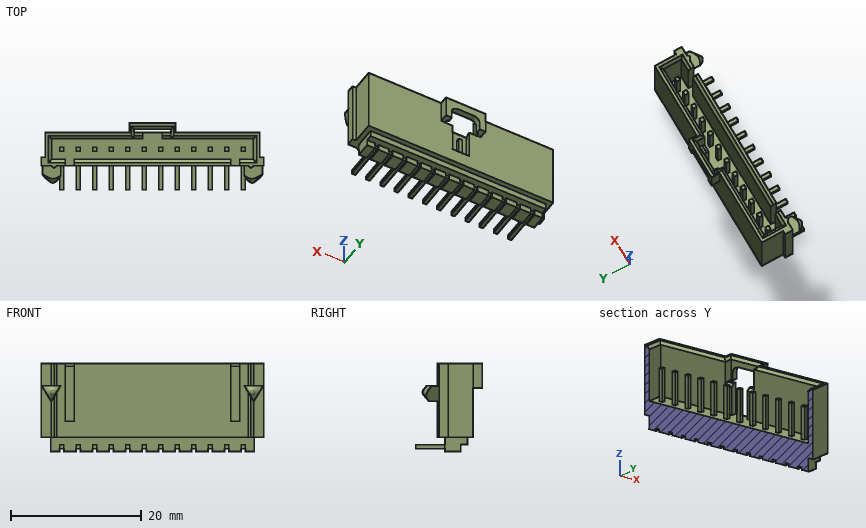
import cadquery as cq
import math


PIN_COUNT = 12
PITCH = 2.54
PIN_SIZE = 0.64
PIN_TOP_BELOW_RIM = 3.5
TAIL_END_Y = -6.26

BODY_LENGTH = 33.05
BODY_HALF_DEPTH = 2.58
BODY_HEIGHT = 11.4
WALL = 1.0
RIM_CHAMFER = 0.48
FLOOR_Z = 2.5
BODY_BACK_Y = BODY_HALF_DEPTH
BODY_FRONT_Y = -BODY_HALF_DEPTH
CAVITY_HALF_DEPTH = BODY_HALF_DEPTH - WALL

FLANGE_LENGTH = 34.29
FLANGE_DEPTH = 1.36

SLOT_WIDTH = 1.32
SLOT_CENTER_X = 12.73

LATCH_LENGTH = 7.08
LATCH_BACK_Y = 4.03
LATCH_HEIGHT = 3.84
LATCH_SIDE_WALL = 0.73
LATCH_CAVITY_LENGTH = LATCH_LENGTH - 2 * LATCH_SIDE_WALL
LATCH_CAVITY_BACK_Y = LATCH_BACK_Y - WALL
LATCH_WINDOW_LENGTH = 5.0
LATCH_WINDOW_TOP_BELOW_RIM = 1.47
LATCH_WINDOW_RADIUS = 1.1
BACK_OPENING_LENGTH = 3.02

RIB_CENTER_X = 15.15
RIB_WIDTH = 0.84
RIB_HEIGHT = 0.32
PEG_CENTER_X = 15.59
PEG_WIDTH = 2.95
PEG_HEIGHT = 2.43
PEG_CORNER_FLAT = 0.13
PEG_TOP_Z = BODY_HEIGHT - 3.43
PEG_LENGTH = 2.62
PEG_TIP_RADIUS = 0.32
PEG_DOME_HEIGHT = 0.1
PEG_POINT_HALF_ANGLE = 51
PEG_TIP_X = 15.33
PEG_TIP_BELOW_TOP = 1.02

BASE_LENGTH = 31.38
BASE_HEIGHT = 2.19
BASE_FRONT_Y = -1.75
BASE_BACK_Y = 1.75
STEP_Y = 0.72
STEP_HEIGHT = 1.12


def block(x_range, y_range, z_range):
    """Axis-aligned box between the given limits."""
    size = [high - low for low, high in (x_range, y_range, z_range)]
    corner = (x_range[0], y_range[0], z_range[0])
    return cq.Workplane("XY").box(*size, centered=False).translate(corner)


def centered_block(length, y_range, z_range):
    """Axis-aligned box centered on X = 0."""
    return block((-length / 2, length / 2), y_range, z_range)


def both_ends(feature):
    """The feature together with its mirror image about the YZ plane."""
    return feature.union(feature.mirror("YZ"))


def rim_flare(length, y_range, rim_z):
    """45-degree flare whose small end has the given size, RIM_CHAMFER below rim_z."""
    depth = y_range[1] - y_range[0]
    center_y = (y_range[0] + y_range[1]) / 2
    return (
        cq.Workplane("XY")
        .workplane(offset=rim_z)
        .center(0, center_y)
        .rect(length + 2 * RIM_CHAMFER, depth + 2 * RIM_CHAMFER)
        .extrude(-RIM_CHAMFER, taper=45)
    )


def make_shroud():
    flange_y = (BODY_FRONT_Y, BODY_FRONT_Y + FLANGE_DEPTH)
    latch_z = (BODY_HEIGHT - LATCH_HEIGHT, BODY_HEIGHT)
    shroud = centered_block(BODY_LENGTH, (BODY_FRONT_Y, BODY_BACK_Y), (0, BODY_HEIGHT))
    shroud = shroud.union(centered_block(FLANGE_LENGTH, flange_y, (0, BODY_HEIGHT)))
    return shroud.union(centered_block(LATCH_LENGTH, (0, LATCH_BACK_Y), latch_z))


def make_cavity():
    length = BODY_LENGTH - 2 * WALL
    y_range = (-CAVITY_HALF_DEPTH, CAVITY_HALF_DEPTH)
    cavity = centered_block(length, y_range, (FLOOR_Z, BODY_HEIGHT))
    return cavity.union(rim_flare(length, y_range, BODY_HEIGHT))


def make_latch_cutout():
    """Latch box cavity, the opening below it and the round-cornered window behind it."""
    sill_z = BODY_HEIGHT - LATCH_HEIGHT
    window_z = (sill_z, BODY_HEIGHT - LATCH_WINDOW_TOP_BELOW_RIM)
    cavity_y = (0, LATCH_CAVITY_BACK_Y)
    cavity = centered_block(LATCH_CAVITY_LENGTH, cavity_y, (sill_z, BODY_HEIGHT))
    flare = rim_flare(LATCH_CAVITY_LENGTH, cavity_y, BODY_HEIGHT)
    sill_flare = rim_flare(
        LATCH_CAVITY_LENGTH, (-CAVITY_HALF_DEPTH, CAVITY_HALF_DEPTH), sill_z
    ).intersect(centered_block(LATCH_CAVITY_LENGTH, (0, BODY_BACK_Y), (0, BODY_HEIGHT)))
    opening = centered_block(BACK_OPENING_LENGTH, (0, BODY_BACK_Y), (FLOOR_Z, sill_z))
    window = (
        centered_block(LATCH_WINDOW_LENGTH, (0, LATCH_BACK_Y), window_z)
        .edges("|Y and >Z")
        .fillet(LATCH_WINDOW_RADIUS)
    )
    return cavity.union(flare).union(sill_flare).union(opening).union(window)


def make_front_slots():
    x_range = (SLOT_CENTER_X - SLOT_WIDTH / 2, SLOT_CENTER_X + SLOT_WIDTH / 2)
    return both_ends(block(x_range, (BODY_FRONT_Y, 0), (FLOOR_Z, BODY_HEIGHT)))


def make_crush_ribs():
    rib = (
        cq.Workplane("XY")
        .moveTo(RIB_CENTER_X - RIB_WIDTH / 2, BODY_FRONT_Y)
        .lineTo(RIB_CENTER_X + RIB_WIDTH / 2, BODY_FRONT_Y)
        .lineTo(RIB_CENTER_X, BODY_FRONT_Y - RIB_HEIGHT)
        .close()
        .extrude(BODY_HEIGHT)
    )
    return both_ends(rib)


def make_peg_point():
    """Cone with a domed tip, as long as the peg, pointing toward -Y."""
    tip_y = BODY_FRONT_Y - PEG_LENGTH
    dome_base_y = tip_y + PEG_DOME_HEIGHT
    cone_length = PEG_LENGTH - PEG_DOME_HEIGHT
    root_radius = PEG_TIP_RADIUS + cone_length * math.tan(math.radians(PEG_POINT_HALF_ANGLE))
    dome_radius = (PEG_TIP_RADIUS**2 + PEG_DOME_HEIGHT**2) / (2 * PEG_DOME_HEIGHT)
    profile = (
        cq.Workplane("XY")
        .moveTo(0, tip_y)
        .radiusArc((PEG_TIP_RADIUS, dome_base_y), -dome_radius)
        .lineTo(root_radius, BODY_FRONT_Y)
        .lineTo(0, BODY_FRONT_Y)
        .close()
    )
    point = profile.revolve(360, (0, 0, 0), (0, 1, 0))
    return point.translate((PEG_TIP_X, 0, PEG_TOP_Z - PEG_TIP_BELOW_TOP))


def make_pegs():
    """Triangular pegs with a blunted outer corner and a conical point."""
    outer_x = PEG_CENTER_X + PEG_WIDTH / 2
    flank_run = PEG_CORNER_FLAT * PEG_WIDTH / (2 * PEG_HEIGHT)
    prism = (
        cq.Workplane("XZ", origin=(0, BODY_FRONT_Y, 0))
        .moveTo(PEG_CENTER_X - PEG_WIDTH / 2, PEG_TOP_Z)
        .lineTo(outer_x - PEG_CORNER_FLAT - flank_run, PEG_TOP_Z)
        .lineTo(outer_x - flank_run, PEG_TOP_Z - PEG_CORNER_FLAT)
        .lineTo(PEG_CENTER_X, PEG_TOP_Z - PEG_HEIGHT)
        .close()
        .extrude(PEG_LENGTH)
    )
    return both_ends(prism.intersect(make_peg_point()))


def make_base():
    base = centered_block(BASE_LENGTH, (BASE_FRONT_Y, BASE_BACK_Y), (-STEP_HEIGHT, 0))
    return base.union(centered_block(BASE_LENGTH, (BASE_FRONT_Y, STEP_Y), (-BASE_HEIGHT, 0)))


def pin_ranges():
    """X limits of every pin in the row."""
    first_x = -PITCH * (PIN_COUNT - 1) / 2
    centers = [first_x + PITCH * index for index in range(PIN_COUNT)]
    return [(x - PIN_SIZE / 2, x + PIN_SIZE / 2) for x in centers]


def make_pin(x_range):
    """L-shaped pin: a post standing in the shroud and a tail leaving at the front."""
    half = PIN_SIZE / 2
    tail_z = (-STEP_HEIGHT - PIN_SIZE, -STEP_HEIGHT)
    post = block(x_range, (-half, half), (tail_z[0], BODY_HEIGHT - PIN_TOP_BELOW_RIM))
    return post.union(block(x_range, (TAIL_END_Y, half), tail_z))


result = make_shroud().union(make_base())
result = result.cut(make_cavity()).cut(make_latch_cutout()).cut(make_front_slots())
result = result.union(make_crush_ribs()).union(make_pegs())
for pin_x in pin_ranges():
    pin_channel = block(pin_x, (BASE_FRONT_Y, STEP_Y), (-BASE_HEIGHT, -STEP_HEIGHT))
    result = result.cut(pin_channel).union(make_pin(pin_x))